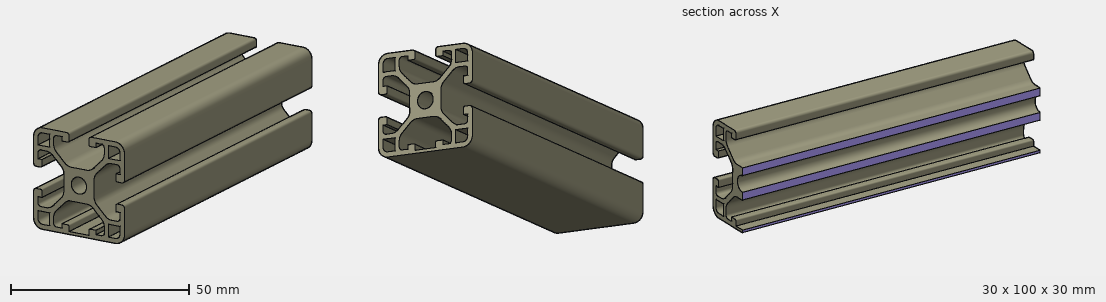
import cadquery as cq
import math

side = 30.0
length = 100.0
corner_radius = 3.0
bore_diameter = 5.0

wall = 1.5
mouth_width = 6.5
lip_depth = 2.8
lip_half_width = 5.6
cavity_width = 16.7
core_half_width = 5.0
web_thickness = 1.7
closed_slot_skin = 0.9
lip_outer_radius = 0.9
lip_inner_radius = 0.5
cavity_radius = 1.0
web_radius = 3.0

clearance = 2.0

hollow_size = 3.8
hollow_radius = 1.5

half_side = side / 2
mouth_half_width = mouth_width / 2
cavity_half_width = cavity_width / 2
cavity_top = half_side - wall
lip_bottom = half_side - lip_depth
flank_offset = web_thickness / math.sqrt(2)


def extrude_profile(profile):
    """Extrude a profile drawn on XZ from y = -length/2 to y = +length/2."""
    return profile.extrude(length / 2, both=True)


def rounded_outline(corners):
    """Closed XZ outline through (x, z, radius) corners, each rounded by its radius."""
    outline = cq.Workplane("XZ")
    for i, (x, z, radius) in enumerate(corners):
        here = cq.Vector(x, z)
        before = cq.Vector(*corners[i - 1][:2])
        after = cq.Vector(*corners[(i + 1) % len(corners)][:2])
        to_before = (before - here).normalized()
        to_after = (after - here).normalized()
        half_angle = to_before.getAngle(to_after) / 2
        setback = radius / math.tan(half_angle)
        start = here + to_before * setback
        outline = outline.moveTo(start.x, start.y) if i == 0 else outline.lineTo(start.x, start.y)
        if radius > 0:
            bisector = (to_before + to_after).normalized()
            middle = here + bisector * (radius / math.sin(half_angle) - radius)
            end = here + to_after * setback
            outline = outline.threePointArc((middle.x, middle.y), (end.x, end.y))
    return outline.close()


def slot_cutter(mouth_corners):
    """Solid of the +Z slot; mouth_corners lists the right half from the mouth inward."""
    right_half = mouth_corners + [
        (mouth_half_width, lip_bottom, lip_inner_radius),
        (lip_half_width, lip_bottom, 0),
        (lip_half_width, cavity_top, 0),
        (cavity_half_width, cavity_top, cavity_radius),
        (cavity_half_width, cavity_half_width + flank_offset, web_radius),
        (core_half_width - flank_offset, core_half_width, web_radius),
    ]
    left_half = [(-x, z, radius) for x, z, radius in reversed(right_half)]
    return extrude_profile(rounded_outline(right_half + left_half))


def corner_hollow():
    """Square hollow in the +X +Z corner, rounded only at its outermost corner."""
    inner = cavity_top - hollow_size
    corners = [
        (inner, inner, 0),
        (cavity_top, inner, 0),
        (cavity_top, cavity_top, hollow_radius),
        (inner, cavity_top, 0),
    ]
    return extrude_profile(rounded_outline(corners))


def turned(body, angle):
    """Copy of body turned about the profile axis."""
    return body.rotate((0, 0, 0), (0, 1, 0), angle)


bar = cq.Workplane("XY").box(side, length, side).edges("|Y").fillet(corner_radius)
bar = bar.cut(extrude_profile(cq.Workplane("XZ").circle(bore_diameter / 2)))

open_slot = slot_cutter([
    (mouth_half_width + clearance, half_side + clearance, 0),
    (mouth_half_width + clearance, half_side, 0),
    (mouth_half_width, half_side, lip_outer_radius),
])
for angle in (0, 90, -90):
    bar = bar.cut(turned(open_slot, angle))

closed_slot = slot_cutter([(mouth_half_width, half_side - closed_slot_skin, 0)])
bar = bar.cut(turned(closed_slot, 180))

for angle in (0, 90, 180, 270):
    bar = bar.cut(turned(corner_hollow(), angle))

result = bar